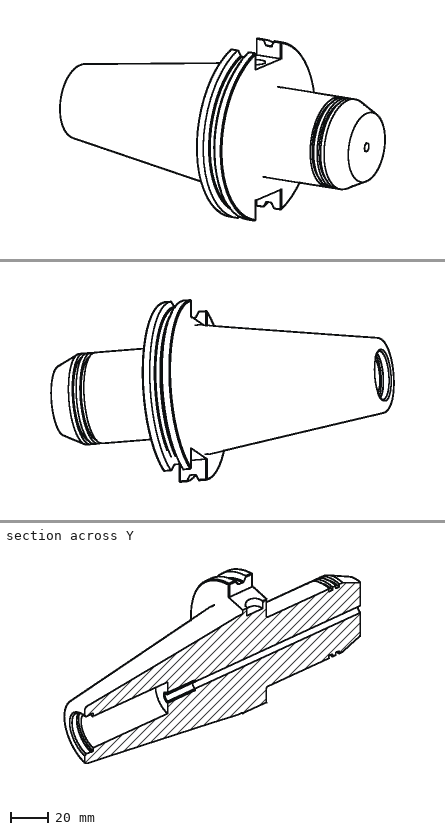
import cadquery as cq
import math

TOTAL_LENGTH = 182.6

GAUGE_DIAMETER = 70.0
GAUGE_X = 101.5
TAPER_RATIO = 7 / 24
TAPER_END_FILLET = 2.2

FLANGE_DIAMETER = 97.5
FLANGE_START_X = 104.6
FLANGE_WIDTH = 15.9
FLANGE_EDGE_CHAMFER = 0.5
TAPER_ROOT_FILLET = 0.4
NOSE_ROOT_FILLET = 1.0
V_GROOVE_CENTRE_X = 112.7
V_GROOVE_DEPTH = 3.3
V_GROOVE_FLOOR_WIDTH = 3.3
V_GROOVE_FLOOR_FILLET = 0.7
V_GROOVE_HALF_ANGLE = 30.0

SLOT_WIDTH = 25.7
UPPER_SLOT_FLOOR_Z = 37.6
LOWER_SLOT_FLOOR_Z = -35.5

SLOT_HOLE_DIAMETER = 10.0
SLOT_HOLE_DEPTH = 5.3

NOSE_DIAMETER = 49.3
NOSE_END_DIAMETER = 38.0
NOSE_CONE_LENGTH = 11.9
RING_GROOVE_DIAMETER = 45.5
RING_GROOVE_WIDTH = 2.2

MOUTH_DIAMETER = 28.0
MOUTH_CHAMFER = 1.0
COUNTERBORE_DIAMETER = 26.1
COUNTERBORE_DEPTH = 4.2
RELIEF_DIAMETER = 26.7
RELIEF_END_X = 5.5
BORE_DIAMETER = 22.0
BORE_DEPTH = 54.8

SCREW_DIAMETER = 6.8
SCREW_LENGTH = 18.3
CHANNEL_DIAMETER = 4.5

FLANGE_END_X = FLANGE_START_X + FLANGE_WIDTH
NOSE_CONE_X = TOTAL_LENGTH - NOSE_CONE_LENGTH
TAPER_END_DIAMETER = GAUGE_DIAMETER - TAPER_RATIO * GAUGE_X
SCREW_END_X = BORE_DEPTH + SCREW_LENGTH


def cylinder_x(diameter, start_x, end_x):
    """Cylinder on the X axis between two stations."""
    return cq.Workplane("YZ", origin=(start_x, 0, 0)).circle(diameter / 2).extrude(end_x - start_x)


def revolve_x(points):
    """Turn an (x, radius) outline about the X axis."""
    return cq.Workplane("XY").polyline(points).close().revolve(360, (0, 0, 0), (1, 0, 0))


def make_taper():
    cone = revolve_x([
        (0, 0),
        (0, TAPER_END_DIAMETER / 2),
        (GAUGE_X, GAUGE_DIAMETER / 2),
        (FLANGE_START_X, GAUGE_DIAMETER / 2),
        (FLANGE_START_X, 0),
    ])
    return cone.faces("<X").edges().fillet(TAPER_END_FILLET)


def make_slots():
    """Both drive slots, as solids that run out past the flange rim."""
    slots = cq.Workplane("XY")
    for floor_z, direction in ((UPPER_SLOT_FLOOR_Z, 1), (LOWER_SLOT_FLOOR_Z, -1)):
        slot = cq.Workplane("XY", origin=(V_GROOVE_CENTRE_X, 0, floor_z))
        slot = slot.rect(2 * FLANGE_WIDTH, SLOT_WIDTH).extrude(direction * FLANGE_DIAMETER)
        slots = slots.add(slot)
    return slots.combine()


def make_v_groove():
    radius = FLANGE_DIAMETER / 2
    floor_radius = radius - V_GROOVE_DEPTH
    half_floor = V_GROOVE_FLOOR_WIDTH / 2
    half_mouth = half_floor + V_GROOVE_DEPTH * math.tan(math.radians(V_GROOVE_HALF_ANGLE))
    groove = revolve_x([
        (V_GROOVE_CENTRE_X - half_mouth, radius),
        (V_GROOVE_CENTRE_X - half_floor, floor_radius),
        (V_GROOVE_CENTRE_X + half_floor, floor_radius),
        (V_GROOVE_CENTRE_X + half_mouth, radius),
    ])
    floor_edges = cq.selectors.RadiusNthSelector(0)
    return groove.edges(floor_edges).fillet(V_GROOVE_FLOOR_FILLET)


def make_flange():
    flange = cylinder_x(FLANGE_DIAMETER, FLANGE_START_X, FLANGE_END_X).cut(make_slots())
    rim_edges = flange.edges("%CIRCLE")
    slot_wall_edges = flange.faces("|Y").edges("|Z")
    slot_lip_edges = flange.faces("|Y").edges("|X").edges(">Z or <Z")
    outer_edges = rim_edges.add(slot_wall_edges).add(slot_lip_edges)
    flange = outer_edges.chamfer(FLANGE_EDGE_CHAMFER)
    flange = flange.cut(make_v_groove())
    hole = cq.Workplane("XY", origin=(V_GROOVE_CENTRE_X, 0, UPPER_SLOT_FLOOR_Z))
    return flange.cut(hole.circle(SLOT_HOLE_DIAMETER / 2).extrude(-SLOT_HOLE_DEPTH))


def make_nose():
    nose = revolve_x([
        (FLANGE_END_X, 0),
        (FLANGE_END_X, NOSE_DIAMETER / 2),
        (NOSE_CONE_X, NOSE_DIAMETER / 2),
        (TOTAL_LENGTH, NOSE_END_DIAMETER / 2),
        (TOTAL_LENGTH, 0),
    ])
    for widths_to_cone in (1, 3):
        end_x = NOSE_CONE_X - widths_to_cone * RING_GROOVE_WIDTH
        start_x = end_x - RING_GROOVE_WIDTH
        ring = cylinder_x(2 * NOSE_DIAMETER, start_x, end_x)
        nose = nose.cut(ring.cut(cylinder_x(RING_GROOVE_DIAMETER, start_x, end_x)))
    return nose


def make_bore():
    return revolve_x([
        (0, 0),
        (0, MOUTH_DIAMETER / 2),
        (MOUTH_CHAMFER, COUNTERBORE_DIAMETER / 2),
        (COUNTERBORE_DEPTH, COUNTERBORE_DIAMETER / 2),
        (COUNTERBORE_DEPTH, RELIEF_DIAMETER / 2),
        (RELIEF_END_X, RELIEF_DIAMETER / 2),
        (RELIEF_END_X, BORE_DIAMETER / 2),
        (BORE_DEPTH, BORE_DIAMETER / 2),
        (BORE_DEPTH, SCREW_DIAMETER / 2),
        (SCREW_END_X, SCREW_DIAMETER / 2),
        (SCREW_END_X, CHANNEL_DIAMETER / 2),
        (TOTAL_LENGTH, CHANNEL_DIAMETER / 2),
        (TOTAL_LENGTH, 0),
    ])


def fillet_root(holder, diameter, root_x, radius):
    """Round the corner where a section of this diameter meets a flange face."""
    reach = diameter / 2 + radius
    corner = cq.selectors.BoxSelector(
        (root_x - radius, -reach, -reach),
        (root_x + radius, reach, reach),
        boundingbox=True,
    )
    return holder.edges(corner).fillet(radius)


def make_holder():
    holder = make_taper().union(make_flange()).union(make_nose())
    holder = fillet_root(holder, GAUGE_DIAMETER, FLANGE_START_X, TAPER_ROOT_FILLET)
    holder = fillet_root(holder, NOSE_DIAMETER, FLANGE_END_X, NOSE_ROOT_FILLET)
    return holder.cut(make_bore())


def make_screw():
    screw = cylinder_x(SCREW_DIAMETER, BORE_DEPTH, SCREW_END_X)
    return screw.cut(cylinder_x(CHANNEL_DIAMETER, BORE_DEPTH, SCREW_END_X))


holder = make_holder()
screw = make_screw()

result = cq.Compound.makeCompound([holder.val(), screw.val()])